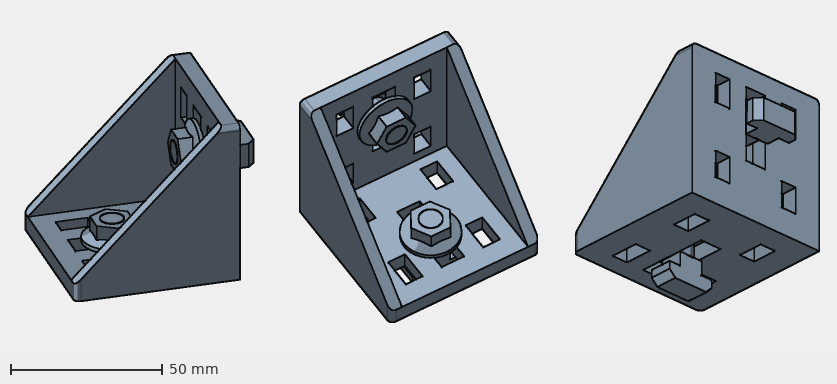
import cadquery as cq
import math

overall_length = 68.3
bracket_width = 58.0
leg_length = 56.95
plate_thickness = 6.0
wall_thickness = 4.5
corner_radius = 2.0

side_slot_width = 6.5
side_slot_offset = 15.0
inner_slot_start = 10.0
inner_slot_end = 19.95
outer_slot_start = 38.25
outer_slot_end = 49.3
bolt_slot_width = 8.75
bolt_slot_start = 21.45

bolt_distance = (bolt_slot_start + outer_slot_end) / 2
flange_radius = 10.25
flange_rim_height = 1.45
flange_cone_angle = 24.0
nut_across_flats = 13.0
nut_across_corners = nut_across_flats / math.cos(math.pi / 6)
nut_height = 7.85
bolt_radius = 4.0
bolt_end_height = 8.1
neck_width = 9.8
neck_gap = 0.5
tee_depth = 8.6
tee_width = 19.25
tee_shoulder = 5.9
tee_reach = overall_length - leg_length
tee_chamfer = 2.5


def make_bracket_body():
    """Solid wedge with rounded tips, hollowed between the two end walls."""
    wedge = (
        cq.Workplane("YZ")
        .polyline([
            (0, 0),
            (-leg_length, 0),
            (-leg_length, plate_thickness),
            (-plate_thickness, leg_length),
            (0, leg_length),
        ])
        .close()
        .extrude(bracket_width / 2, both=True)
    )
    wedge = wedge.faces(">Z").edges("|Y").fillet(corner_radius)
    wedge = wedge.faces("<Y").edges("|Z").fillet(corner_radius)
    cavity = cq.Workplane("XY").box(
        bracket_width - 2 * wall_thickness, leg_length, leg_length, centered=(True, False, False)
    ).translate((0, -plate_thickness - leg_length, plate_thickness))
    return wedge.cut(cavity)


def slot_cutter(x_center, width, start, end):
    """Rectangular opening through the bottom plate."""
    return (
        cq.Workplane("XY")
        .center(x_center, -(start + end) / 2)
        .rect(width, end - start)
        .extrude(plate_thickness)
    )


def make_plate_openings():
    openings = slot_cutter(0, bolt_slot_width, bolt_slot_start, outer_slot_end)
    for x_center in (-side_slot_offset, side_slot_offset):
        for start, end in ((inner_slot_start, inner_slot_end), (outer_slot_start, outer_slot_end)):
            openings = openings.union(slot_cutter(x_center, side_slot_width, start, end))
    return openings


def make_nut():
    """Hex nut on a conical flange, seated on Z = 0."""
    cone_height = flange_radius * math.tan(math.radians(flange_cone_angle))
    flange = (
        cq.Workplane("XZ")
        .polyline([
            (0, 0),
            (flange_radius, 0),
            (flange_radius, flange_rim_height),
            (0, flange_rim_height + cone_height),
        ])
        .close()
        .revolve(360, (0, 0), (0, 1))
    )
    hexagon = cq.Workplane("XY").polygon(6, nut_across_corners).extrude(nut_height)
    return flange.union(hexagon)


def make_tee_bolt():
    """Threaded shank ending in a T-shaped head below Z = 0."""
    shank = (
        cq.Workplane("XY")
        .workplane(offset=-tee_shoulder)
        .circle(bolt_radius)
        .extrude(tee_shoulder + plate_thickness + bolt_end_height)
    )
    neck = (
        cq.Workplane("XY")
        .workplane(offset=-tee_shoulder)
        .rect(neck_width, tee_depth)
        .extrude(tee_shoulder - neck_gap)
    )
    head = (
        cq.Workplane("XY")
        .workplane(offset=-tee_reach)
        .rect(tee_width, tee_depth)
        .extrude(tee_reach - tee_shoulder)
        .faces("<Z").edges("|Y").chamfer(tee_chamfer)
    )
    return shank.union(neck).union(head)


def make_fastener():
    """Bolt and nut clamped on the bottom plate."""
    nut = make_nut().translate((0, 0, plate_thickness))
    return make_tee_bolt().union(nut).translate((0, -bolt_distance, 0))


def on_back_plate(shape):
    """Mirror a bottom plate feature across the 45 degree plane of the L."""
    return shape.rotate((0, 0, 0), (1, 0, 0), -90).mirror("XZ")


openings = make_plate_openings()
fastener = make_fastener()
result = make_bracket_body()
result = result.cut(openings).cut(on_back_plate(openings))
result = result.union(fastener).union(on_back_plate(fastener))